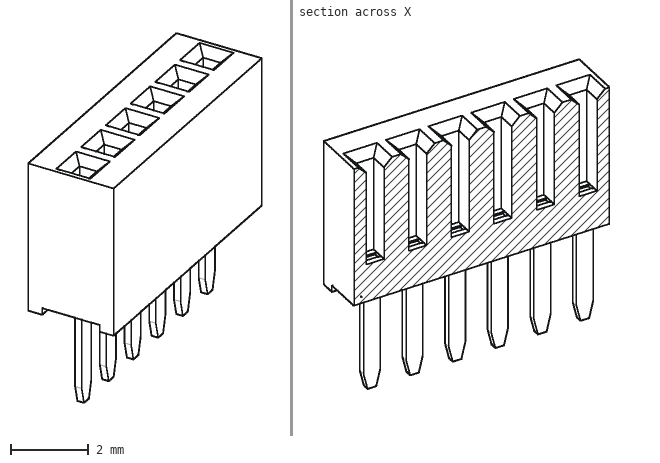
import cadquery as cq

pin_count = 6
body_length = 7.62
pitch = body_length / pin_count
body_width = 2 * pitch
total_height = 7.0
body_height = 4.4

rail_width = 0.42
groove_depth = 0.2

mouth_size = 1.005
funnel_depth = 0.245
hole_size = mouth_size - 2 * funnel_depth
hole_depth = 3.05

pin_thickness = 0.2
pin_width = 0.5
tip_width = 0.26
tip_length = 0.5

seat_floor_length = 0.42
seat_depth = (hole_size - seat_floor_length) / 2

pin_bottom = body_height - total_height
socket_floor = body_height - hole_depth
pin_positions = [(i - (pin_count - 1) / 2) * pitch for i in range(pin_count)]


def make_body():
    """Rectangular housing with a full-length groove between two rails."""
    body = cq.Workplane("XY").box(body_width, body_length, body_height, centered=(True, True, False))
    groove_width = body_width - 2 * rail_width
    groove = cq.Workplane("XY").box(groove_width, body_length, groove_depth, centered=(True, True, False))
    return body.cut(groove)


def make_socket(y):
    """Cutting solid for one socket centred at the given Y."""
    funnel = (
        cq.Workplane("XY", origin=(0, y, body_height))
        .rect(mouth_size, mouth_size)
        .workplane(offset=-funnel_depth)
        .rect(hole_size, hole_size)
        .loft(ruled=True)
    )
    hole = cq.Workplane("XY", origin=(0, y, socket_floor)).box(
        hole_size, hole_size, hole_depth - funnel_depth, centered=(True, True, False)
    )
    seat = (
        cq.Workplane("YZ", origin=(-pin_thickness / 2, y, socket_floor))
        .moveTo(-hole_size / 2, 0)
        .lineTo(-seat_floor_length / 2, -seat_depth)
        .lineTo(seat_floor_length / 2, -seat_depth)
        .lineTo(hole_size / 2, 0)
        .close()
        .extrude(pin_thickness)
    )
    return funnel.union(hole).union(seat)


def make_pin(y):
    """Flat pin reaching from the groove ceiling down to its tapered tip."""
    tip_top = pin_bottom + tip_length
    return (
        cq.Workplane("YZ", origin=(-pin_thickness / 2, y, 0))
        .moveTo(-pin_width / 2, groove_depth)
        .lineTo(-pin_width / 2, tip_top)
        .lineTo(-tip_width / 2, pin_bottom)
        .lineTo(tip_width / 2, pin_bottom)
        .lineTo(pin_width / 2, tip_top)
        .lineTo(pin_width / 2, groove_depth)
        .close()
        .extrude(pin_thickness)
    )


result = make_body()
for pin_y in pin_positions:
    result = result.cut(make_socket(pin_y))
    result = result.union(make_pin(pin_y))